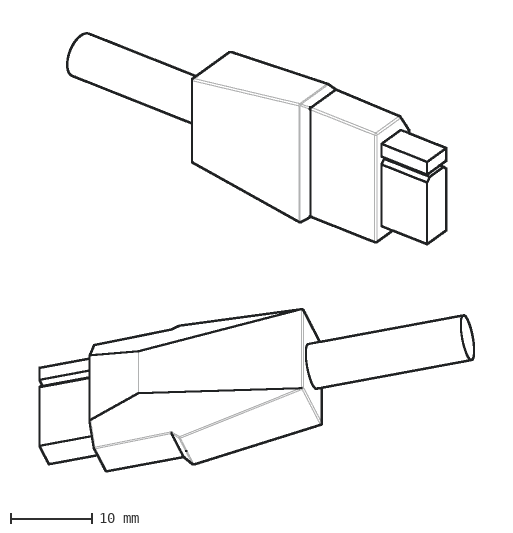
import cadquery as cq

total_length = 54.5
cable_length = 19.95
grip_end = 36.5
shoulder_end = 37.45
nose_end = 47.5
back_peak = 40.75

entry_half_height = 6.1
grip_half_height = 17.3 / 2
nose_half_height = 7.95
ridge_half_height = 3.2

grip_front = -4.1
nose_front = -3.1
back_end_depth = 3.85
back_peak_depth = 5.2
bevel_depth_at_grip_end = 1.85

edge_radius = 0.2
cable_diameter = 5.6

tolerance = 0.005

contact_half_height = 6.0
contact_thickness = 4.0
small_contact_height = 1.85
contact_gap = 0.6
contact_chamfer = 0.55
contact_length = total_length - nose_end


def make_cable():
    """Round cable that ends flush on the entry face of the housing."""
    return cq.Workplane("YZ").circle(cable_diameter / 2).extrude(cable_length)


def make_grip():
    """Tapered grip, widening from the cable entry to the shoulder."""
    outline = [
        (cable_length, -entry_half_height),
        (grip_end, -grip_half_height),
        (grip_end, grip_half_height),
        (cable_length, entry_half_height),
    ]
    depth = back_peak_depth - grip_front
    return cq.Workplane("XZ", origin=(0, grip_front, 0)).polyline(outline).close().extrude(-depth)


def section(x, front, half_height):
    """Rectangular cross-section wire of the housing at position x."""
    corners = [
        cq.Vector(x, front, -half_height),
        cq.Vector(x, back_peak_depth, -half_height),
        cq.Vector(x, back_peak_depth, half_height),
        cq.Vector(x, front, half_height),
    ]
    return cq.Wire.makePolygon(corners, close=True)


def make_shoulder():
    """Sloped step from the grip down to the nose."""
    wide_end = section(grip_end, grip_front, grip_half_height)
    narrow_end = section(shoulder_end, nose_front, nose_half_height)
    return cq.Workplane(obj=cq.Solid.makeLoft([wide_end, narrow_end], True))


def make_nose():
    """Rectangular nose that carries the contact blocks."""
    return cq.Workplane(obj=cq.Solid.makeBox(
        nose_end - shoulder_end,
        back_peak_depth - nose_front,
        2 * nose_half_height,
        cq.Vector(shoulder_end, nose_front, -nose_half_height),
    ))


def make_back_envelope():
    """Prism whose back rises from both ends to a peak line."""
    outline = [
        (cable_length, grip_front),
        (nose_end, grip_front),
        (nose_end, back_end_depth),
        (back_peak, back_peak_depth),
        (cable_length, back_end_depth),
    ]
    return cq.Workplane("XY").polyline(outline).close().extrude(grip_half_height, both=True)


def make_bevel_cutter(side):
    """Block behind the sloped bevel plane; side is +1 for the top, -1 for the bottom."""
    entry_corner = cq.Vector(cable_length, back_end_depth, side * entry_half_height)
    grip_corner = cq.Vector(grip_end, bevel_depth_at_grip_end, side * grip_half_height)
    peak_corner = cq.Vector(back_peak, back_peak_depth, side * ridge_half_height)
    along = grip_corner - entry_corner
    normal = along.cross(peak_corner - entry_corner)
    if normal.y < 0:
        normal = -normal
    plane = cq.Plane(origin=entry_corner, xDir=along, normal=normal)
    return cq.Workplane(plane).rect(2 * total_length, 2 * total_length).extrude(total_length)


def make_contact(bottom, height):
    """Contact block standing on the end face of the nose."""
    return cq.Workplane(obj=cq.Solid.makeBox(
        contact_length,
        contact_thickness,
        height,
        cq.Vector(nose_end, -contact_thickness / 2, bottom),
    ))


def round_outer_edges(shell):
    """Round the end faces, front rims and side edges; leave the back ridges and the inner corner sharp."""

    def is_rounded(edge):
        center = edge.Center()
        on_end_face = min(abs(center.x - cable_length), abs(center.x - nose_end)) < tolerance
        on_inner_corner = abs(center.x - shoulder_end) < tolerance
        on_front = center.y < nose_front + tolerance
        on_side = abs(center.z) > entry_half_height
        return on_end_face or (not on_inner_corner and (on_front or on_side))

    rounded_edges = [edge for edge in shell.edges().vals() if is_rounded(edge)]
    return shell.newObject(rounded_edges).fillet(edge_radius)


def make_housing():
    """Grip, shoulder and nose with a faceted back, rounded edges and two contact blocks."""
    shell = make_grip().union(make_shoulder()).union(make_nose())
    shell = shell.intersect(make_back_envelope())
    for side in (1, -1):
        shell = shell.cut(make_bevel_cutter(side))

    shell = round_outer_edges(shell)

    small_contact = make_contact(contact_half_height - small_contact_height, small_contact_height)
    large_height = 2 * contact_half_height - small_contact_height - contact_gap
    large_contact = make_contact(-contact_half_height, large_height)
    large_contact = large_contact.faces(">Z").edges("|X").chamfer(contact_chamfer)
    return shell.union(small_contact).union(large_contact)


cable = make_cable()
housing = make_housing()
result = cq.Compound.makeCompound([cable.val(), housing.val()])